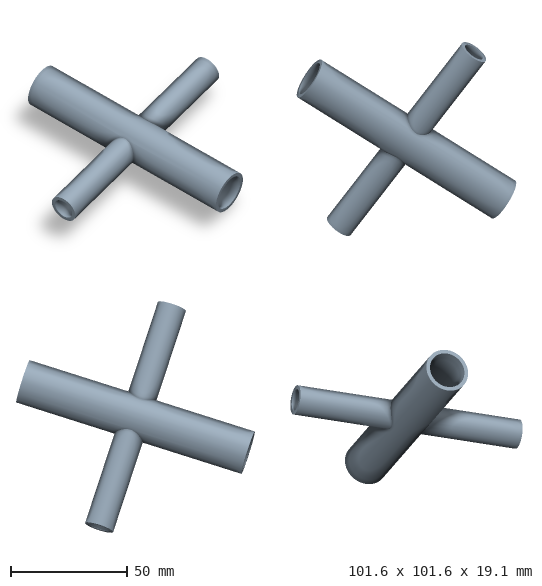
import cadquery as cq

tube_length = 101.6
main_outer_diameter = 19.1
main_bore_diameter = 15.7
branch_outer_diameter = 12.7
branch_bore_diameter = 9.3


def rod(plane, diameter):
    """Solid cylinder of the full tube length, centred on the origin along the plane's normal."""
    return cq.Workplane(plane).circle(diameter / 2).extrude(tube_length / 2, both=True)


outer_walls = rod("YZ", main_outer_diameter).union(rod("XZ", branch_outer_diameter))
bores = rod("YZ", main_bore_diameter).union(rod("XZ", branch_bore_diameter))

result = outer_walls.cut(bores)